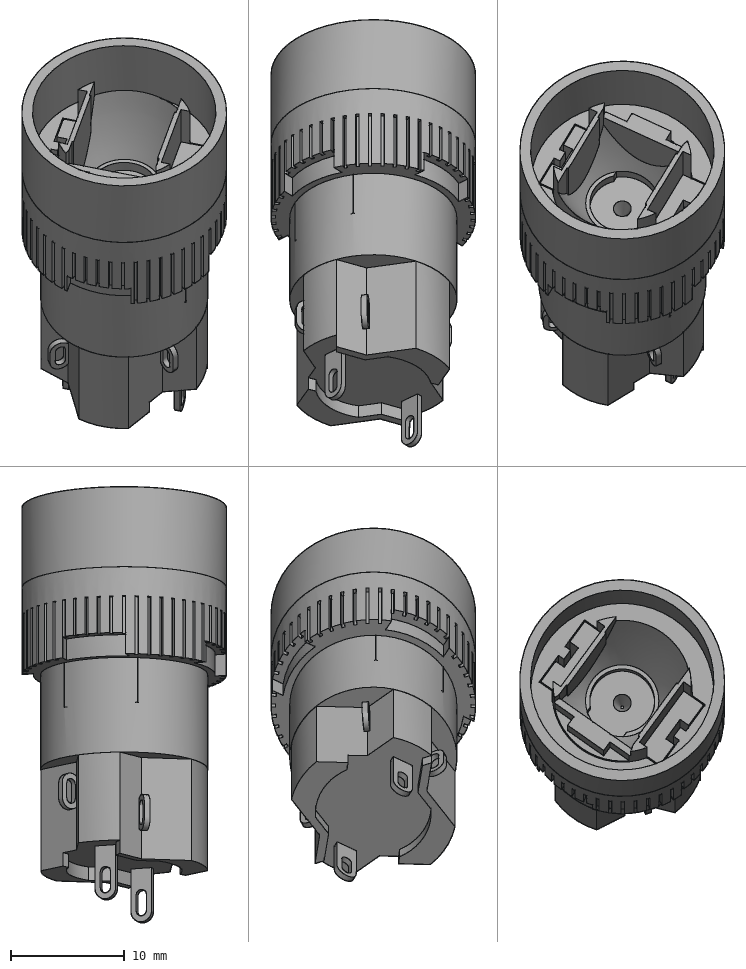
import cadquery as cq
import math

total_height = 36.2
bezel_bottom = 29.0
slot_top = 26.4
notch_top = 23.1
collar_bottom = 21.2
pocket_bottom = 17.2
barrel_bottom = 12.7
lobe_bottom = 4.8
base_bottom = 3.6
floor_z = 30.2

bezel_radius = 18.0 / 2
bore_radius = 16.1 / 2
collar_radius = 8.985
barrel_radius = 14.7 / 2
seat_radius = 8.0
notch_width = 5.8
slot_count = 50
slot_width = 0.28
slot_depth = 0.4

groove_apex = (4.3, 3.0)
end_lobe_half_width = 2.25
side_lobe_half_width = 1.92
base_radius = 7.33
side_lobe_x = math.sqrt(base_radius**2 - side_lobe_half_width**2)
end_lobe_y = math.sqrt(base_radius**2 - end_lobe_half_width**2)
beyond_base = base_radius + 2.0
hollow_tip = (6.44, 1.37)
hollow_apex = (3.78, 2.39)
hollow_end = (2.84, 4.22)
window_corner = (3.53, 4.5)

terminal_thickness = 0.53
terminal_width = 1.92
terminal_hole_width = 0.94
terminal_offset = 5.07
terminal_hole_bottom = 0.55
terminal_hole_length = 2.35
lug_length = 3.2
lug_hole_length = 2.2
lug_sink = 0.15
upper_lug_z = 9.95
lower_lug_z = 7.6

clearance = 0.1
insert_radius = 6.07
leg_reach = 6.42
leg_half_width = 3.32
key_reach = 5.93
key_width = 1.0
keyway_reach = 5.5
keyway_width = 2.13
wall_top = 34.3
rim_z = 32.6
wall_outer = 4.27
wall_inner = 3.95
wall_end = 4.15
front_wall_inner = 3.95
front_wall_outer = 4.55
pad_thickness = 0.13
pad_half_length = 2.9
tab_half_width = 1.95
tab_reach = 5.5

bowl_floor_radius = 3.22
bowl_floor_z = 26.8
bowl_mid_radius = 4.7
bowl_mid_z = 29.36
seat_recess_radius = 2.85
seat_recess_depth = 1.0
contact_radius = 0.78
contact_tip_radius = 0.12
contact_depth = 2.0


def cylinder(radius, bottom, top):
    return cq.Workplane("XY").workplane(offset=bottom).circle(radius).extrude(top - bottom)


def block(x_min, x_max, y_min, y_max, bottom, top):
    size = (x_max - x_min, y_max - y_min, top - bottom)
    return cq.Workplane("XY").box(*size, centered=False).translate((x_min, y_min, bottom))


def on_four_sides(shape):
    return [shape.rotate((0, 0, 0), (0, 0, 1), 90 * side) for side in range(4)]


def plunger_outline(margin, bottom, top):
    """Round core with a rectangular leg on each side, grown by a margin."""
    reach = leg_reach + margin
    half_width = leg_half_width + margin
    legs = block(-reach, reach, -half_width, half_width, bottom, top)
    return cylinder(insert_radius + margin, bottom, top).union(legs)


def collar():
    """Bezel ring with a lower skirt that is notched on four sides and slotted all round."""
    ring = cylinder(bezel_radius, bezel_bottom, total_height)
    ring = ring.union(cylinder(collar_radius, collar_bottom, bezel_bottom))
    notch = block(0, bezel_radius, -notch_width / 2, notch_width / 2, collar_bottom, notch_top)
    notch = notch.cut(cylinder(seat_radius, collar_bottom, notch_top))
    for side_notch in on_four_sides(notch):
        ring = ring.cut(side_notch)
    slots = (
        cq.Workplane("XY")
        .workplane(offset=collar_bottom)
        .polarArray(collar_radius, -90, 360, slot_count)
        .rect(2 * slot_depth, slot_width)
        .extrude(slot_top - collar_bottom)
    )
    return ring.cut(slots)


def both_ways(shape):
    """A shape and its copy half a turn about the Z axis."""
    return [shape, shape.rotate((0, 0, 0), (0, 0, 1), 180)]


def corner_groove():
    """V groove at the +X +Y corner of the base."""
    outline = [
        groove_apex,
        (end_lobe_half_width, end_lobe_y),
        (end_lobe_half_width, beyond_base),
        (beyond_base, beyond_base),
        (beyond_base, side_lobe_half_width),
        (side_lobe_x, side_lobe_half_width),
    ]
    plane = cq.Workplane("XY").workplane(offset=base_bottom)
    return plane.polyline(outline).close().extrude(barrel_bottom - base_bottom)


def base_hollow():
    """One half (+X) of the hollow under the base: parallel to the grooves, open at the side lobe."""
    upper = [
        hollow_apex,
        hollow_tip,
        (side_lobe_x, side_lobe_half_width),
        (beyond_base, side_lobe_half_width),
    ]
    lower = [(x, -y) for x, y in reversed(upper)]
    end_radius = math.hypot(*hollow_end)
    return (
        cq.Workplane("XY")
        .workplane(offset=base_bottom)
        .moveTo(0, end_radius)
        .radiusArc(hollow_end, end_radius)
        .polyline(upper + lower + [(hollow_end[0], -hollow_end[1])], includeCurrent=True)
        .radiusArc((0, -end_radius), end_radius)
        .close()
        .extrude(lobe_bottom - base_bottom)
    )


def corner_window():
    """Opening that removes the groove wall at the +X -Y corner under the base."""
    outline = [
        hollow_end,
        window_corner,
        (beyond_base, window_corner[1]),
        (beyond_base, 0),
        (hollow_end[0], 0),
    ]
    plane = cq.Workplane("XY").workplane(offset=base_bottom)
    return plane.polyline(outline).close().extrude(lobe_bottom - base_bottom).mirror("XZ")


def base():
    """Lower barrel with a V groove at each corner, hollow underneath, open at two corners."""
    body = cylinder(base_radius, base_bottom, barrel_bottom)
    groove = corner_groove()
    for half in (groove, groove.mirror("XZ")):
        for cutter in both_ways(half):
            body = body.cut(cutter)
    for cutter in both_ways(base_hollow()):
        body = body.cut(cutter)
    for cutter in both_ways(corner_window()):
        body = body.cut(cutter)
    return body


def slotted_plate(width, length, hole_length, hole_offset):
    """Upright plate in the YZ plane with round ends and a lengthwise hole."""
    plate = cq.Workplane("YZ").slot2D(length, width, 90).extrude(terminal_thickness / 2, both=True)
    hole = (
        cq.Workplane("YZ")
        .center(0, hole_offset)
        .slot2D(hole_length, terminal_hole_width, 90)
        .extrude(terminal_thickness, both=True)
    )
    return plate.cut(hole)


def straight_terminal(x):
    length = lobe_bottom + terminal_width
    hole_z = terminal_hole_bottom + terminal_hole_length / 2
    plate = slotted_plate(terminal_width, length, terminal_hole_length, hole_z - length / 2)
    return plate.translate((x, 0, length / 2))


def corner_lug(x_sign, y_sign, z):
    """Lug that stands out radially from the apex of a V groove."""
    radius = math.hypot(*groove_apex) - lug_sink + terminal_width / 2
    angle = math.degrees(math.atan2(y_sign * groove_apex[1], x_sign * groove_apex[0]))
    plate = slotted_plate(terminal_width, lug_length, lug_hole_length, 0)
    plate = plate.rotate((0, 0, 0), (0, 0, 1), 90).translate((radius, 0, z))
    return plate.rotate((0, 0, 0), (0, 0, 1), angle)


def make_housing():
    body = collar().union(cylinder(barrel_radius, barrel_bottom, collar_bottom)).union(base())
    body = body.cut(cylinder(bore_radius, floor_z, total_height))
    body = body.cut(plunger_outline(clearance, pocket_bottom, floor_z))
    for side in (-1, 1):
        near, far = sorted((side * key_reach, side * (leg_reach + clearance)))
        body = body.union(block(near, far, -key_width / 2, key_width / 2, pocket_bottom, floor_z))
        body = body.union(straight_terminal(side * terminal_offset))
        body = body.union(corner_lug(side, side, lower_lug_z))
        body = body.union(corner_lug(side, -side, upper_lug_z))
    return body


def make_insert():
    body = plunger_outline(0, pocket_bottom, floor_z)
    for side in (-1, 1):
        near, far = sorted((side * keyway_reach, side * (leg_reach + clearance)))
        body = body.cut(block(near, far, -keyway_width / 2, keyway_width / 2, pocket_bottom, floor_z))

    upper = cylinder(insert_radius, floor_z, wall_top)
    right_edge = [(wall_end, -front_wall_outer), (wall_inner, -front_wall_inner), (wall_inner, insert_radius)]
    left_edge = [(-x, y) for x, y in reversed(right_edge)]
    between_walls = cq.Workplane("XY").workplane(offset=rim_z).polyline(right_edge + left_edge).close()
    upper = upper.cut(between_walls.extrude(wall_top - rim_z))
    front = block(-insert_radius, insert_radius, -insert_radius, -front_wall_outer, floor_z, wall_top)
    upper = upper.cut(front)
    for side in (-1, 1):
        near, far = sorted((side * wall_outer, side * leg_reach))
        upper = upper.cut(block(near, far, -leg_half_width, leg_half_width, floor_z, wall_top))
    tab = block(-tab_half_width, tab_half_width, -tab_reach, -front_wall_outer, floor_z, rim_z)
    body = body.union(upper).union(tab)

    bowl = (
        cq.Workplane("XZ")
        .moveTo(0, bowl_floor_z)
        .lineTo(bowl_floor_radius, bowl_floor_z)
        .threePointArc((bowl_mid_radius, bowl_mid_z), (insert_radius, rim_z))
        .lineTo(0, rim_z)
        .close()
        .revolve(360, (0, 0, 0), (0, 1, 0))
    )
    opening = block(-wall_inner, wall_inner, -front_wall_inner, insert_radius, bowl_floor_z, rim_z)
    for side in (-1, 1):
        near, far = sorted((side * (wall_inner - pad_thickness), side * wall_inner))
        pad = block(near, far, -pad_half_length, pad_half_length, bowl_floor_z, wall_top)
        opening = opening.cut(pad)
        body = body.union(pad)
    body = body.cut(bowl.intersect(opening))

    recess_z = bowl_floor_z - seat_recess_depth
    recess = cylinder(seat_recess_radius, recess_z, bowl_floor_z)
    key = block(-tab_half_width, tab_half_width, -bowl_floor_radius, 0, recess_z, bowl_floor_z)
    recess = recess.union(key.intersect(cylinder(bowl_floor_radius, recess_z, bowl_floor_z)))
    body = body.cut(recess)
    contact = cq.Solid.makeCone(contact_tip_radius, contact_radius, contact_depth)
    return body.cut(cq.Workplane(contact.translate(cq.Vector(0, 0, recess_z - contact_depth))))


housing = make_housing()
insert = make_insert()
result = cq.Compound.makeCompound([housing.val(), insert.val()])